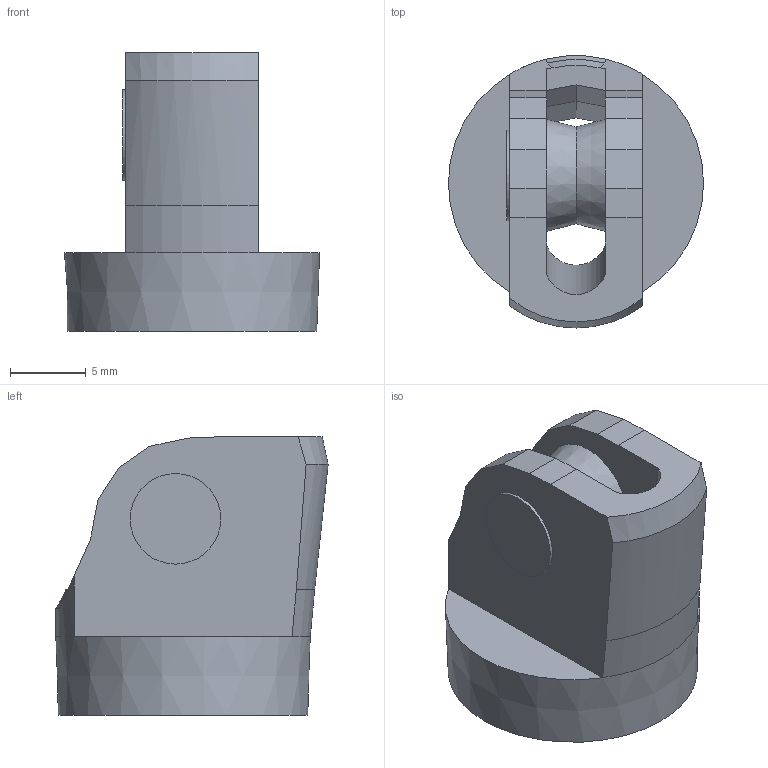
import cadquery as cq
import math

base_radius = 8.45
base_foot_radius = 8.26
base_height = 5.2
total_height = 18.43

block_half_width = 4.4
web_top = 8.31
front_bulge_height = 16.6

front_sections = [
    (base_height, -base_radius, base_radius),
    (web_top, -8.74, base_radius),
    (front_bulge_height, -9.61, 7.36),
    (total_height, -9.21, 6.9),
]

cheek_rear_edge = [
    (7.62, web_top),
    (6.13, 11.66),
    (5.63, 14.3),
    (4.27, 16.36),
    (2.2, 17.81),
    (-0.36, 18.35),
    (-2.3, total_height),
]

web_rim = [(base_radius, 7.06), (8.19, 7.5), (7.8, web_top)]

slot_half_width = 1.95
slot_end_radius = 2.1
slot_front_bottom = -5.42
slot_front_top = -7.39

slot_rear_sections = [(0, 4.33), (base_height, 5.43), (web_top, 6.5)]
slot_rear_v_depth = 0.36

pin_y = 0.5
pin_z = 13.0
roller_waist_radius = 3.21
roller_rim_radius = 3.7
pin_head_radius = 3.0
pin_head_projection = 0.2


def arc_sag(half_width, radius):
    """Depth of an arc of the given radius across a chord of twice half_width."""
    return radius - math.sqrt(radius**2 - half_width**2)


def box_between(x_range, y_range, z_range):
    sizes = [high - low for low, high in (x_range, y_range, z_range)]
    corner = (x_range[0], y_range[0], z_range[0])
    return cq.Workplane("XY").box(*sizes, centered=False).translate(corner)


def loft_between(lower, upper):
    """Ruled solid between two closed wires."""
    return cq.Workplane(cq.Solid.makeLoft([lower, upper], True))


def loft_stack(wires):
    """Ruled solids between successive wires, joined into one."""
    solid = loft_between(wires[0], wires[1])
    for lower, upper in zip(wires[1:], wires[2:]):
        solid = solid.union(loft_between(lower, upper))
    return solid


def round_front_wire(z, half_width, front_y, radius):
    """Section on the -Y side of the axis: straight sides with an arc across the front."""
    side_y = front_y + arc_sag(half_width, radius)
    return (
        cq.Workplane("XY", origin=(0, 0, z))
        .moveTo(half_width, 0)
        .lineTo(half_width, side_y)
        .threePointArc((0, front_y), (-half_width, side_y))
        .lineTo(-half_width, 0)
        .close()
        .val()
    )


def v_rear_wire(z, rear_y):
    """Slot section on the +Y side of the axis, ending in a shallow V."""
    side_y = rear_y - slot_rear_v_depth
    return (
        cq.Workplane("XY", origin=(0, 0, z))
        .polyline([
            (slot_half_width, 0),
            (slot_half_width, side_y),
            (0, rear_y),
            (-slot_half_width, side_y),
            (-slot_half_width, 0),
        ])
        .close()
        .val()
    )


def make_base():
    return (
        cq.Workplane("XZ")
        .polyline([(0, 0), (base_foot_radius, 0), (base_radius, base_height), (0, base_height)])
        .close()
        .revolve(360, (0, 0, 0), (0, 1, 0))
    )


def make_block():
    """Upright block: leaning round front, cylindrical lower rear and faceted upper rear."""
    front = loft_stack([
        round_front_wire(z, block_half_width, front_y, radius)
        for z, front_y, radius in front_sections
    ])
    rear = (
        cq.Workplane("XY", origin=(0, 0, base_height))
        .circle(base_radius)
        .extrude(total_height - base_height)
        .intersect(box_between(
            (-block_half_width, block_half_width),
            (0, base_radius),
            (base_height, total_height),
        ))
    )

    (low_y, low_z), (next_y, next_z) = cheek_rear_edge[:2]
    slope = (next_z - low_z) / (next_y - low_y)
    exit_z = low_z + slope * (base_radius - low_y)
    waste = (
        cq.Workplane("YZ")
        .polyline([(base_radius, exit_z)] + cheek_rear_edge + [(base_radius, total_height)])
        .close()
        .extrude(block_half_width, both=True)
    )
    return front.union(rear).cut(waste)


def make_web():
    """Low rear web joining the cheeks, with a rim turned about the base axis."""
    outline = [(0, base_height), (base_radius, base_height)] + web_rim + [(0, web_top)]
    turned = (
        cq.Workplane("XZ")
        .polyline(outline)
        .close()
        .revolve(360, (0, 0, 0), (0, 1, 0))
    )
    return turned.intersect(box_between(
        (-slot_half_width, slot_half_width),
        (0, base_radius),
        (base_height, web_top),
    ))


def make_slot():
    """Through slot: leaning round front, V rear below the web top, open rear above it."""
    front = loft_between(
        round_front_wire(0, slot_half_width, slot_front_bottom, slot_end_radius),
        round_front_wire(total_height, slot_half_width, slot_front_top, slot_end_radius),
    )
    lower_rear = loft_stack([v_rear_wire(z, rear_y) for z, rear_y in slot_rear_sections])
    upper_rear = box_between(
        (-slot_half_width, slot_half_width),
        (0, base_radius),
        (web_top, total_height),
    )
    return front.union(lower_rear).union(upper_rear)


def make_roller():
    """Waisted roller filling the slot width, turned about the pin axis."""
    return (
        cq.Workplane("XY", origin=(0, pin_y, pin_z))
        .polyline([
            (-slot_half_width, 0),
            (-slot_half_width, roller_rim_radius),
            (0, roller_waist_radius),
            (slot_half_width, roller_rim_radius),
            (slot_half_width, 0),
        ])
        .close()
        .revolve(360, (0, 0, 0), (1, 0, 0))
    )


def make_pin_head():
    return (
        cq.Workplane("YZ", origin=(-block_half_width - pin_head_projection, pin_y, pin_z))
        .circle(pin_head_radius)
        .extrude(pin_head_projection)
    )


body = make_base().union(make_block()).union(make_web())
result = body.cut(make_slot()).union(make_roller()).union(make_pin_head())